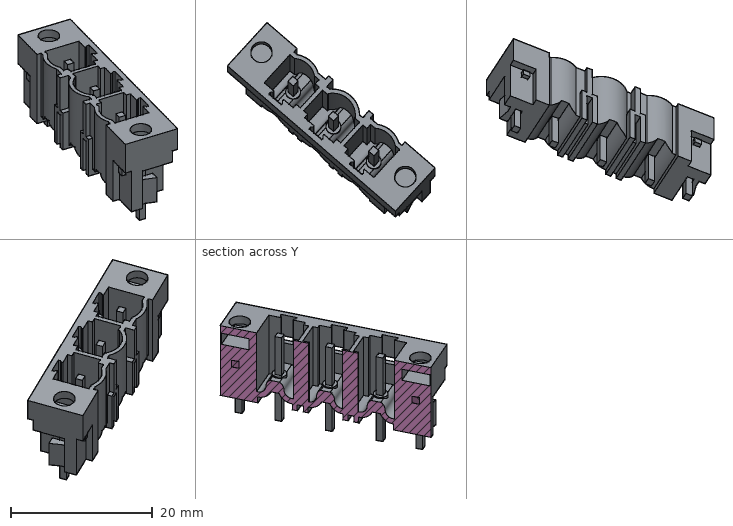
import cadquery as cq
import math

length = 31.72
depth = 8.4
height = 11.75
back_overhang = 0.82
overhang_bottom = 8.2
lower_back = depth - back_overhang

pitch = 7.6
pole_xs = [-pitch, 0.0, pitch]
pin_y = 3.75
pin_size = 1.0
pin_top = 10.8
tail_bottom = -3.2
boss_radius = 1.05

end_block_inner = 10.18
side_wall_y = 0.67
middle_wall_y = 1.33
bulge_y = 3.9
bulge_outer = 3.8
bulge_inner = 3.2

wave_half = 2.55
wave_z = 3.08
keel_radius = 2.1
keel_bottom = wave_z - keel_radius
arch_top = 2.28
ridge_radius = 1.4
ridge_half = 0.73
trough_radius = wave_half - ridge_radius
trough_z = wave_z - trough_radius
ridge_top = wave_z + math.sqrt(ridge_radius**2 - ridge_half**2)
boss_rise = 0.2
boss_top = ridge_top + boss_rise

socket_half = 2.73
socket_front = middle_wall_y
socket_back = 6.8
notch_reach = 3.5
notch_front = 2.13
notch_back = 6.12

dovetail_half = 1.17
dovetail_neck_half = 0.92
dovetail_flank_y = 7.25
dovetail_neck_y = 6.98
dovetail_floor = 7.6

rib_width = 0.85
fork_width = 2.45
fork_top = 6.25
fork_slot_top = 5.45

anchor_x = 13.58
screw_diameter = 3.0
screw_depth = 1.3
nut_half = 2.05
nut_back = 7.25
nut_floor = 8.65
face_recess_width = 3.6
face_recess_depth = 0.98
face_recess_top = 6.88
side_recess_front = 2.8
side_recess_top = 6.35
side_recess_inner = anchor_x - pin_size / 2
clamp_top = 4.12
clamp_flat_y = 3.65
clamp_back = 5.35
clamp_inner_x = anchor_x + pin_size / 2
clamp_flat_x = 14.9
clamp_tip_x = 15.35

anchor_top = 6.25
anchor_tip_y = 0.4


def box(x0, x1, y0, y1, z0, z1):
    """Block between two opposite corners."""
    return cq.Workplane("XY").box(x1 - x0, y1 - y0, z1 - z0, centered=False).translate((x0, y0, z0))


def mirrored(shape):
    """The shape together with its copy on the other side of the YZ plane."""
    return shape.union(shape.mirror("YZ"))


def disc(x, y, radius, z0, z1):
    """Vertical cylinder from z0 to z1."""
    return cq.Workplane("XY", origin=(x, y, z0)).circle(radius).extrude(z1 - z0)


def under_floor():
    """Solid filling everything below the wavy floor of one socket."""
    trough_step = trough_radius * math.sqrt(0.5)
    ridge_angle = (math.asin(ridge_half / ridge_radius) + math.pi / 2) / 2
    ridge_mid = (ridge_radius * math.sin(ridge_angle), wave_z + ridge_radius * math.cos(ridge_angle))
    trough_mid = (wave_half - trough_step, wave_z - trough_step)
    half = (
        cq.Workplane("XZ")
        .lineTo(0, ridge_top)
        .lineTo(ridge_half, ridge_top)
        .threePointArc(ridge_mid, (ridge_radius, wave_z))
        .threePointArc(trough_mid, (wave_half, trough_z))
        .lineTo(pitch / 2, trough_z)
        .lineTo(pitch / 2, 0)
        .close()
        .extrude(-depth)
    )
    return mirrored(half)


def arch():
    """Arched cut under one pole, running from front to back."""
    crown_half = wave_half - math.sqrt(keel_radius**2 - (wave_z - arch_top) ** 2)
    mid_angle = math.acos((wave_z - arch_top) / keel_radius) / 2
    keel_mid = (wave_half - keel_radius * math.sin(mid_angle), wave_z - keel_radius * math.cos(mid_angle))
    half = (
        cq.Workplane("XZ")
        .lineTo(0, arch_top)
        .lineTo(crown_half, arch_top)
        .threePointArc(keel_mid, (wave_half, keel_bottom))
        .lineTo(pitch / 2, keel_bottom)
        .lineTo(pitch / 2, 0)
        .close()
        .extrude(-depth)
    )
    return mirrored(half)


def pole_body():
    """Body between the end blocks: flat front walls, round bulges and arches below."""
    inner_reach = pitch / 2
    body = box(-end_block_inner, end_block_inner, side_wall_y, depth, 0, height)
    body = body.cut(box(-inner_reach, inner_reach, 0, middle_wall_y, 0, height))
    for x in pole_xs:
        bulge = disc(x, bulge_y, bulge_outer, 0, height)
        body = body.union(bulge.intersect(box(x - inner_reach, x + inner_reach, 0, bulge_y, 0, height)))
    for x in pole_xs:
        body = body.cut(arch().translate((x, 0, 0)))
    return body


def fork_slot():
    """Slot between the two prongs of a rib, cut into the front wall."""
    return box(-rib_width / 2, rib_width / 2, 0, middle_wall_y, 0, fork_slot_top)


def forked_rib():
    """Rib on the front wall between two poles; its prongs end in feet that run to the back."""
    stem = box(-rib_width / 2, rib_width / 2, 0, middle_wall_y, fork_slot_top, height)
    prongs = box(-fork_width / 2, fork_width / 2, 0, middle_wall_y, 0, fork_top)
    feet = box(-fork_width / 2, fork_width / 2, 0, lower_back, 0, keel_bottom)
    gap = box(-rib_width / 2, rib_width / 2, 0, lower_back, 0, keel_bottom)
    return stem.union(prongs).union(feet).cut(gap).cut(fork_slot())


def socket(left_notch, right_notch):
    """Cavity of one socket with its wavy floor, pin boss and dovetail slot."""
    is_middle = left_notch and right_notch
    front = notch_front if is_middle else socket_front
    cavity = box(-socket_half, socket_half, front, socket_back, 0, height)
    bulge = disc(0, bulge_y, bulge_inner, 0, height)
    cavity = cavity.union(bulge.intersect(box(-wave_half, wave_half, 0, notch_front, 0, height)))
    if left_notch:
        cavity = cavity.union(box(-notch_reach, 0, notch_front, notch_back, 0, height))
    if right_notch:
        cavity = cavity.union(box(0, notch_reach, notch_front, notch_back, 0, height))
    dovetail = (
        cq.Workplane("XY", origin=(0, 0, dovetail_floor))
        .moveTo(0, socket_back)
        .lineTo(dovetail_neck_half, socket_back)
        .lineTo(dovetail_neck_half, dovetail_neck_y)
        .lineTo(dovetail_half, dovetail_flank_y)
        .lineTo(dovetail_half, lower_back)
        .lineTo(0, lower_back)
        .close()
        .extrude(height - dovetail_floor)
    )
    return cavity.cut(under_floor()).cut(disc(0, pin_y, boss_radius, 0, boss_top)).union(mirrored(dovetail))


def end_block_cuts():
    """Screw hole, nut chamber and recesses of the right end block."""
    end = length / 2
    cuts = disc(anchor_x, pin_y, screw_diameter / 2, height - screw_depth, height)
    nut_chamber = box(
        anchor_x - nut_half, anchor_x + nut_half, pin_y - nut_half, nut_back, nut_floor, height - screw_depth
    )
    face_recess = box(end - face_recess_width, end, 0, face_recess_depth, 0, face_recess_top)
    side_recess = box(side_recess_inner, end, side_recess_front, depth, 0, side_recess_top)
    clamp = (
        cq.Workplane("XY")
        .moveTo(clamp_inner_x, side_recess_front)
        .lineTo(clamp_flat_x, side_recess_front)
        .lineTo(clamp_flat_x, clamp_flat_y)
        .lineTo(clamp_tip_x, clamp_back)
        .lineTo(clamp_inner_x, clamp_back)
        .close()
        .extrude(clamp_top)
    )
    return cuts.union(nut_chamber).union(face_recess).union(side_recess.cut(clamp))


def make_pin(x):
    """Straight square contact pin."""
    half = pin_size / 2
    return box(x - half, x + half, pin_y - half, pin_y + half, tail_bottom, pin_top)


def make_anchor(x):
    """Square anchor whose upper end is bent forward through the front of the end block."""
    half = pin_size / 2
    post = box(x - half, x + half, pin_y - half, pin_y + half, tail_bottom, anchor_top)
    arm = box(x - half, x + half, anchor_tip_y, pin_y + half, anchor_top - pin_size, anchor_top)
    return post.union(arm)


def make_housing(inserts):
    """Moulded housing, with a matching hole for each metal insert."""
    body = pole_body()
    body = body.union(mirrored(box(end_block_inner, length / 2, 0, depth, 0, height)))
    for x in (-pitch / 2, pitch / 2):
        body = body.cut(fork_slot().translate((x, 0, 0))).union(forked_rib().translate((x, 0, 0)))
    for i, x in enumerate(pole_xs):
        cavity = socket(left_notch=i > 0, right_notch=i < len(pole_xs) - 1)
        body = body.cut(cavity.translate((x, 0, 0)))
    body = body.cut(box(-length / 2, length / 2, lower_back, depth, 0, overhang_bottom))
    body = body.cut(mirrored(end_block_cuts()))
    for insert in inserts:
        body = body.cut(insert)
    return body


pins = [make_pin(x) for x in pole_xs]
anchors = [make_anchor(x) for x in (-anchor_x, anchor_x)]
housing = make_housing(pins + anchors)

result = cq.Compound.makeCompound([housing.val(), *[part.val() for part in pins + anchors]])